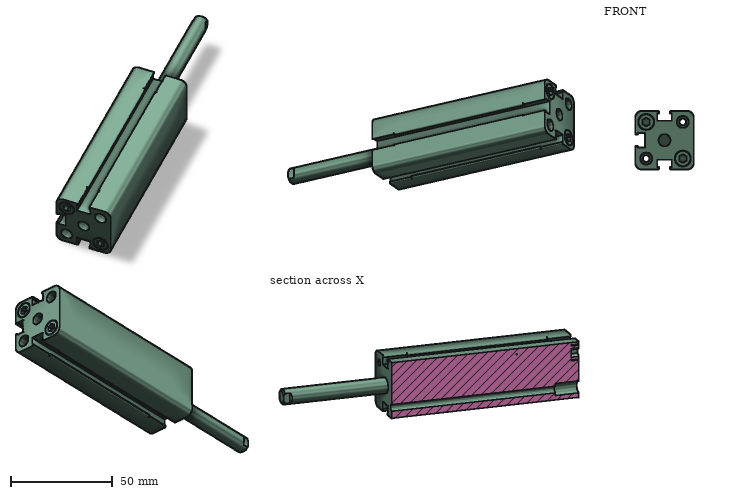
import cadquery as cq
import math

TOTAL_LENGTH = 152.5
BODY_WIDTH = 29.0
BODY_LENGTH = 98.0
CAP_LENGTH = 12.4
FRONT_Y = -TOTAL_LENGTH / 2
BODY_END_Y = FRONT_Y + BODY_LENGTH
CORNER_RADIUS = 3.5

SLOT_WIDTH = 7.0
SLOT_DEPTH = 4.9
TUBE_LIP_RADIUS = 0.8
TUBE_LIP_REACH = 0.9
CAP_LIP_RADIUS = 0.6
CAP_LIP_REACH = CAP_LIP_RADIUS
SLOT_TURNS = (90, 180, 270)

CORNER_OFFSET = 9.0
THROUGH_DIAMETER = 3.2
PORT_DIAMETER = 6.0
PORT_DEPTH = CAP_LENGTH
SCREW_SEAT_DIAMETER = 8.0
SCREW_HEAD_DIAMETER = 7.5
SCREW_HEAD_HEIGHT = 4.0
SOCKET_ACROSS_FLATS = 3.7
SOCKET_TURN = 30
SOCKET_DIAMETER = SOCKET_ACROSS_FLATS / math.cos(math.radians(SOCKET_TURN))
SOCKET_DEPTH = SCREW_HEAD_HEIGHT
HOLE_POINTS = [(CORNER_OFFSET, CORNER_OFFSET), (-CORNER_OFFSET, -CORNER_OFFSET)]
SCREW_POINTS = [(-CORNER_OFFSET, CORNER_OFFSET), (CORNER_OFFSET, -CORNER_OFFSET)]

ROD_DIAMETER = 8.0
ROD_LENGTH = TOTAL_LENGTH - BODY_LENGTH
ROD_CHAMFER = 0.8
FLATS_WIDTH = 6.1
FLATS_LENGTH = 3.4


def section(y):
    """Sketch plane across the axis at y: local x is X, local y is Z, extrusions go towards +Y."""
    return cq.Workplane(cq.Plane((0, y, 0), xDir=(1, 0, 0), normal=(0, -1, 0)))


def slot(start_y, length, lip_radius, lip_reach):
    """Slot in the +X side; the lips at its mouth reach inwards and end in a full round."""
    outer = BODY_WIDTH / 2
    wall = SLOT_WIDTH / 2
    lip_tip = wall - lip_reach
    round_start = lip_tip + lip_radius
    lip_middle = outer - lip_radius
    lip_back = outer - 2 * lip_radius
    floor = outer - SLOT_DEPTH
    cavity = (
        section(start_y)
        .center((lip_back + floor) / 2, 0)
        .rect(lip_back - floor, SLOT_WIDTH)
        .extrude(-length)
    )
    mouth = (
        section(start_y)
        .moveTo(outer, round_start)
        .threePointArc((lip_middle, lip_tip), (lip_back, round_start))
        .lineTo(lip_back, -round_start)
        .threePointArc((lip_middle, -lip_tip), (outer, -round_start))
        .close()
        .extrude(-length)
    )
    return cavity.union(mouth)


def body_segment(start_y, length, lip_radius, lip_reach):
    """Rounded square length of the housing with its three slots."""
    segment = section(start_y).rect(BODY_WIDTH, BODY_WIDTH).extrude(-length)
    segment = segment.edges("|Y").fillet(CORNER_RADIUS)
    for turn in SLOT_TURNS:
        side_slot = slot(start_y, length, lip_radius, lip_reach).rotate((0, 0, 0), (0, 1, 0), turn)
        segment = segment.cut(side_slot)
    return segment


def rod():
    """Round rod, chamfered at its end, with two flats that run out at 45 degrees."""
    bar = section(BODY_END_Y).circle(ROD_DIAMETER / 2).extrude(-ROD_LENGTH)
    bar = bar.faces(">Y").chamfer(ROD_CHAMFER)
    end_y = TOTAL_LENGTH / 2
    radius = ROD_DIAMETER / 2
    flat_x = FLATS_WIDTH / 2
    step_y = end_y - FLATS_LENGTH
    run_out_y = step_y - (radius - flat_x)
    flat = (
        cq.Workplane("XY")
        .polyline([(flat_x, end_y), (flat_x, step_y), (radius, run_out_y), (radius, end_y)])
        .close()
        .extrude(radius, both=True)
    )
    return bar.cut(flat).cut(flat.mirror("YZ"))


def screw_heads():
    """Screw heads sunk flush with the front face."""
    return (
        section(FRONT_Y)
        .pushPoints(SCREW_POINTS)
        .circle(SCREW_HEAD_DIAMETER / 2)
        .extrude(-SCREW_HEAD_HEIGHT)
    )


def drill(points, diameter, depth):
    """Round cutters from the front face."""
    return section(FRONT_Y).pushPoints(points).circle(diameter / 2).extrude(-depth)


tube_y = FRONT_Y + CAP_LENGTH
rear_cap_y = BODY_END_Y - CAP_LENGTH
tube = body_segment(tube_y, rear_cap_y - tube_y, TUBE_LIP_RADIUS, TUBE_LIP_REACH)
rear_cap = body_segment(rear_cap_y, CAP_LENGTH, CAP_LIP_RADIUS, CAP_LIP_REACH)
housing = body_segment(FRONT_Y, CAP_LENGTH, CAP_LIP_RADIUS, CAP_LIP_REACH)
housing = housing.union(tube, clean=False)
housing = housing.union(rear_cap, clean=False)

housing = housing.cut(drill(HOLE_POINTS, THROUGH_DIAMETER, BODY_LENGTH), clean=False)
housing = housing.cut(drill(HOLE_POINTS + [(0, 0)], PORT_DIAMETER, PORT_DEPTH), clean=False)
housing = housing.cut(drill(SCREW_POINTS, SCREW_SEAT_DIAMETER, SCREW_HEAD_HEIGHT), clean=False)
housing = housing.union(screw_heads(), clean=False)
for x, z in SCREW_POINTS:
    socket = (
        section(FRONT_Y)
        .center(x, z)
        .transformed(rotate=(0, 0, SOCKET_TURN))
        .polygon(6, SOCKET_DIAMETER)
        .extrude(-SOCKET_DEPTH)
    )
    housing = housing.cut(socket, clean=False)

result = housing.union(rod(), clean=False)